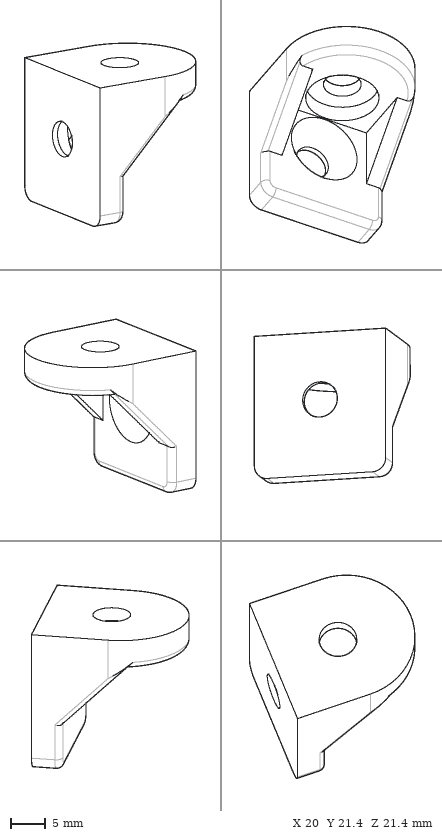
import cadquery as cq

width = 20.0
depth = 21.4
height = 21.4
thickness = 4.5
end_radius = width / 2
corner_radius = 2.0
rim_fillet = 1.0

gusset_reach = 18.45
gusset_fillet = 0.7
gusset_wall = 3.0

counterbore_diameter = 10.7
countersink_diameter = 10.91
top_hole_diameter = 5.5
top_hole_y = 10.05
counterbore_start = 2.0
front_hole_diameter = 5.26
front_hole_z = -10.05
countersink_start = 0.9


def rounded_slab(length):
    """Slab extending down from z = 0, with a semicircular end at y = depth."""
    shoulder_y = depth - end_radius
    return (
        cq.Workplane("XY")
        .moveTo(-width / 2, 0)
        .lineTo(width / 2, 0)
        .lineTo(width / 2, shoulder_y)
        .threePointArc((0, depth), (-width / 2, shoulder_y))
        .close()
        .extrude(-length)
    )


def make_top_plate():
    plate = rounded_slab(thickness)
    rim = plate.faces("<Z").edges("not <Y")
    return rim.fillet(rim_fillet)


def make_front_wall():
    wall = cq.Workplane("XY").box(width, thickness, height, centered=(True, False, False))
    wall = wall.translate((0, 0, -height))
    wall = wall.edges("|Y and <Z").fillet(corner_radius)
    rim = wall.faces(">Y").edges("not >Z")
    return rim.fillet(rim_fillet)


def make_gussets():
    """45 degree wedge with rounded slope sides, hollowed to leave two side walls."""
    wedge = (
        cq.Workplane("YZ")
        .polyline([(0, 0), (gusset_reach, 0), (0, -gusset_reach)])
        .close()
        .extrude(width / 2, both=True)
    )
    wedge = wedge.faces(">(0, 1, -1)").edges("not |X").fillet(gusset_fillet)
    pocket_width = width - 2 * gusset_wall
    pocket = cq.Workplane("XY").box(pocket_width, 2 * depth, 2 * height)
    return wedge.intersect(rounded_slab(height)).cut(pocket)


def make_top_hole():
    """Vertical hole that widens to a counterbore below the top face."""
    top_plane = cq.Workplane("XY", origin=(0, top_hole_y, 0))
    hole = top_plane.circle(top_hole_diameter / 2).extrude(-thickness)
    bore = (
        top_plane.workplane(offset=-counterbore_start)
        .circle(counterbore_diameter / 2)
        .extrude(counterbore_start - thickness)
    )
    return hole.union(bore)


def make_front_hole():
    """Horizontal hole that flares to a countersink on the back of the front wall."""
    profile = [
        (0, 0),
        (front_hole_diameter / 2, 0),
        (front_hole_diameter / 2, countersink_start),
        (countersink_diameter / 2, thickness),
        (0, thickness),
    ]
    cutter = cq.Workplane("XY").polyline(profile).close().revolve(360, (0, 0), (0, 1))
    return cutter.translate((0, 0, front_hole_z))


result = make_top_plate().union(make_front_wall()).union(make_gussets())
result = result.cut(make_top_hole()).cut(make_front_hole())